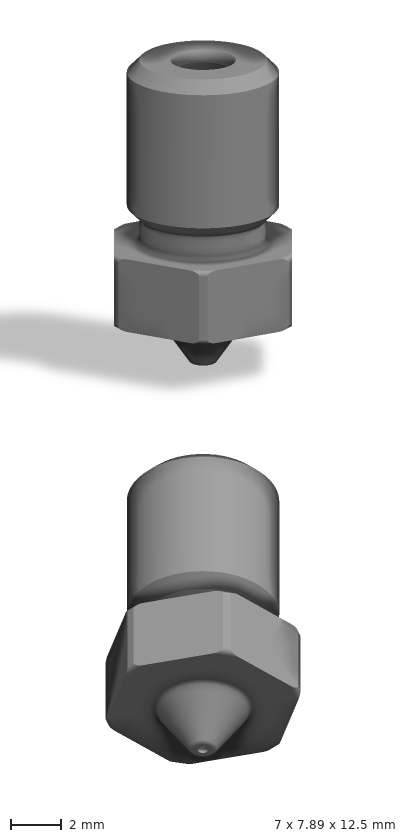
import cadquery as cq
import math

TOTAL_HEIGHT = 12.5
HEX_BOTTOM = 2.0
HEX_TOP = 5.0
NECK_TOP = 6.0

HEX_ACROSS_FLATS = 7.0
HEX_CORNER_CHAMFER = 0.19
SHANK_DIAMETER = 6.0
NECK_DIAMETER = 5.0
SHANK_CHAMFER = (SHANK_DIAMETER - NECK_DIAMETER) / 2
TIP_DIAMETER = 1.0
TIP_HALF_ANGLE = 35.0
EDGE_FILLET = 0.2

BORE_DIAMETER = 2.0
BORE_CHAMFER_WIDTH = 0.3
BORE_CHAMFER_DEPTH = 0.42
ORIFICE_DIAMETER = 0.4
ORIFICE_LENGTH = 0.6
BORE_CONE_HALF_ANGLE = 30.0


def revolve_profile(points):
    """Revolve a closed (radius, height) outline around the Z axis."""
    return cq.Workplane("XZ").polyline(points).close().revolve(360, (0, 0), (0, 1))


def make_hex():
    """Hexagon with corners on +Y and -Y, cut flat at the corners and rounded at their ends."""
    across_corners = HEX_ACROSS_FLATS / math.cos(math.radians(30))
    body = (
        cq.Workplane("XY", origin=(0, 0, HEX_BOTTOM))
        .transformed(rotate=(0, 0, 90))
        .polygon(6, across_corners)
        .extrude(HEX_TOP - HEX_BOTTOM)
        .edges("|Z")
        .chamfer(HEX_CORNER_CHAMFER)
    )
    flat_width = 2 * HEX_CORNER_CHAMFER * math.sin(math.radians(60))
    short_edges = body.edges("#Z").filter(lambda edge: edge.Length() < 1.1 * flat_width)
    return short_edges.fillet(EDGE_FILLET)


def make_shank():
    """Round shank with a narrower neck where it meets the hexagon."""
    neck_radius = NECK_DIAMETER / 2
    shank_radius = SHANK_DIAMETER / 2
    return revolve_profile([
        (0, HEX_TOP),
        (neck_radius, HEX_TOP),
        (neck_radius, NECK_TOP),
        (shank_radius, NECK_TOP + SHANK_CHAMFER),
        (shank_radius, TOTAL_HEIGHT - SHANK_CHAMFER),
        (shank_radius - SHANK_CHAMFER, TOTAL_HEIGHT),
        (0, TOTAL_HEIGHT),
    ])


def make_tip():
    """Cone that narrows from the hexagon down to the flat tip."""
    tip_radius = TIP_DIAMETER / 2
    root_radius = tip_radius + HEX_BOTTOM * math.tan(math.radians(TIP_HALF_ANGLE))
    return revolve_profile([(0, 0), (tip_radius, 0), (root_radius, HEX_BOTTOM), (0, HEX_BOTTOM)])


def make_passage():
    """Chamfered bore that tapers down to the orifice."""
    bore_radius = BORE_DIAMETER / 2
    orifice_radius = ORIFICE_DIAMETER / 2
    cone_height = (bore_radius - orifice_radius) / math.tan(math.radians(BORE_CONE_HALF_ANGLE))
    return revolve_profile([
        (0, 0),
        (orifice_radius, 0),
        (orifice_radius, ORIFICE_LENGTH),
        (bore_radius, ORIFICE_LENGTH + cone_height),
        (bore_radius, TOTAL_HEIGHT - BORE_CHAMFER_DEPTH),
        (bore_radius + BORE_CHAMFER_WIDTH, TOTAL_HEIGHT),
        (0, TOTAL_HEIGHT),
    ])


def round_circle_at(body, height):
    """Fillet the circular edge lying at the given height."""
    circles = body.edges("%CIRCLE").filter(
        lambda edge: edge.IsClosed() and math.isclose(edge.Center().z, height, abs_tol=0.001)
    )
    return circles.fillet(EDGE_FILLET)


nozzle = make_hex().union(make_shank()).union(make_tip())
for circle_height in (0, HEX_BOTTOM, HEX_TOP):
    nozzle = round_circle_at(nozzle, circle_height)

result = nozzle.cut(make_passage())